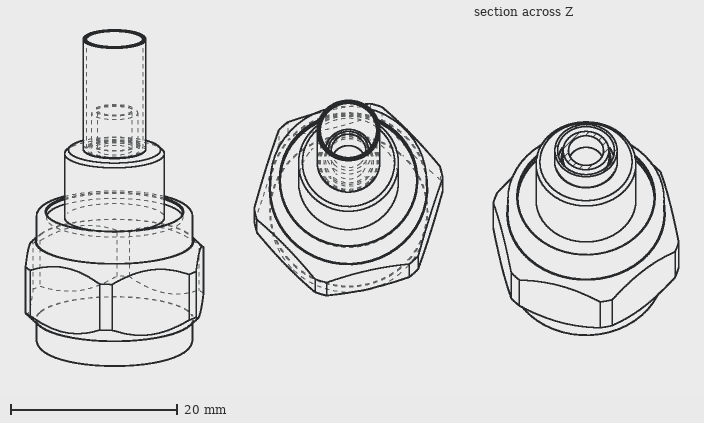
import cadquery as cq
total_height = 38.55
sleeve_top = 24.55
collar_top = 16.8
hexagon_top = 13.05
hexagon_bottom = 3.35

across_flats = 20.62
corner_radius = 11.507
collar_radius = 9.4
bevel_start_radius = 9.52
collar_top_fillet = 0.6
collar_bottom_fillet = 0.8
recess_radius = 8.2
recess_depth = 0.75
recess_lip_chamfer = 0.1
recess_floor = collar_top - recess_depth

sleeve_radius = 6.0
sleeve_chamfer = 0.45

tube_radius = 3.78
tube_bore_radius = 3.4
tube_edge_chamfer = 0.1

stem_base_radius = 2.95
stem_base_height = 0.77
stem_radius = 2.78
stem_height = 5.0
stem_tip_chamfer = 0.35
stem_bore_radius = 2.1


def cylinder(radius, bottom, top):
    return cq.Workplane("XY").workplane(offset=bottom).circle(radius).extrude(top - bottom)


def make_hexagon():
    """Hexagon with corners on the Y axis, its corners turned to a cylinder and bevelled at 45 degrees."""
    bevel = corner_radius - bevel_start_radius
    prism = (
        cq.Workplane("XY")
        .workplane(offset=hexagon_bottom)
        .polygon(6, across_flats, circumscribed=True)
        .extrude(hexagon_top - hexagon_bottom)
    )
    envelope = cylinder(corner_radius, hexagon_bottom, hexagon_top).edges().chamfer(bevel)
    return prism.intersect(envelope)


def make_nut():
    """Hexagon on a round collar, with a shallow recess in the top face around the sleeve."""
    collar = (
        cylinder(collar_radius, 0, collar_top)
        .faces(">Z").edges().fillet(collar_top_fillet)
        .faces("<Z").edges().fillet(collar_bottom_fillet)
    )
    recess = cylinder(recess_radius, recess_floor, collar_top)
    nut = collar.union(make_hexagon()).cut(recess)
    lip = cq.selectors.RadiusNthSelector(0)
    return nut.faces(">Z").edges(lip).chamfer(recess_lip_chamfer)


def make_sleeve():
    return cylinder(sleeve_radius, recess_floor, sleeve_top).faces(">Z").edges().chamfer(sleeve_chamfer)


def make_tube():
    """Thin-walled tube standing on the sleeve, with all its rims chamfered."""
    bore = cylinder(tube_bore_radius, sleeve_top, total_height)
    return cylinder(tube_radius, sleeve_top, total_height).cut(bore).edges().chamfer(tube_edge_chamfer)


def make_stem():
    """Hollow stem with a slightly wider base and a chamfered tip."""
    tip = sleeve_top + stem_height
    stem = cylinder(stem_radius, sleeve_top, tip).faces(">Z").edges().chamfer(stem_tip_chamfer)
    base = cylinder(stem_base_radius, sleeve_top, sleeve_top + stem_base_height)
    return stem.union(base).cut(cylinder(stem_bore_radius, sleeve_top, tip))


result = make_nut().union(make_sleeve()).union(make_tube()).union(make_stem())